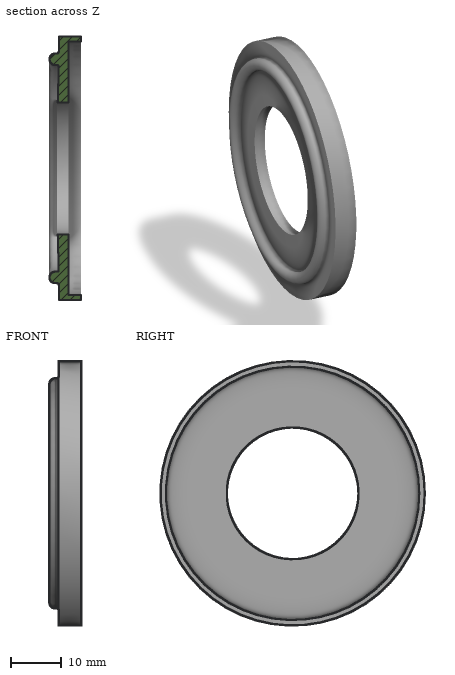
import cadquery as cq

flange_diameter = 52.7
bore_diameter = 26.2
bead_outer_diameter = 45.9
bead_inner_diameter = 41.1
total_thickness = 6.4
bead_height = 1.85
root_fillet = 0.3
recess_diameter = 50.5
bore_edge_thickness = 2.2
face_rise = 0.2

flange_radius = flange_diameter / 2
bore_radius = bore_diameter / 2
bead_outer = bead_outer_diameter / 2
bead_inner = bead_inner_diameter / 2
bead_center = (bead_outer + bead_inner) / 2
crown_radius = (bead_outer - bead_inner) / 2
face_x = bead_height
back_x = total_thickness
recess_radius = recess_diameter / 2
bore_edge_x = face_x - face_rise
recess_x = bore_edge_x + bore_edge_thickness
root_x = face_x - root_fillet

profile = (
    cq.Workplane("XY")
    .moveTo(recess_x, bore_radius)
    .lineTo(recess_x, recess_radius)
    .lineTo(back_x, recess_radius)
    .lineTo(back_x, flange_radius)
    .lineTo(face_x, flange_radius)
    .lineTo(face_x, bead_outer + root_fillet)
    .radiusArc((root_x, bead_outer), root_fillet)
    .lineTo(crown_radius, bead_outer)
    .threePointArc((0, bead_center), (crown_radius, bead_inner))
    .lineTo(root_x, bead_inner)
    .radiusArc((face_x, bead_inner - root_fillet), root_fillet)
    .lineTo(bore_edge_x, bore_radius)
    .close()
)

result = profile.revolve(360, (0, 0, 0), (1, 0, 0))